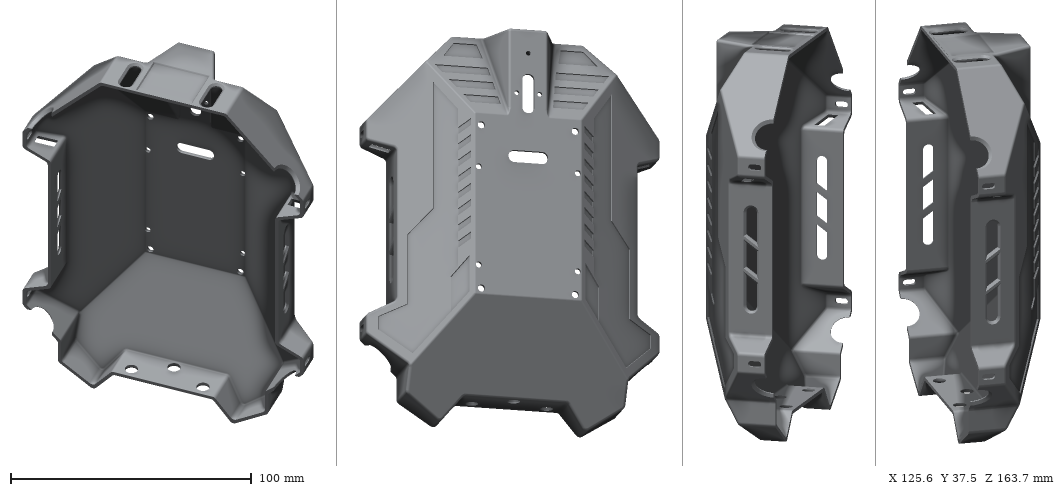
import cadquery as cq
import math

width = 125.58
depth = 37.5
height = 163.7
wall = 1.5
shoulder_wall = 2.5
outline_radius = 2.0
edge_radius = 1.3
inner_edge_radius = 1.0
half_width = width / 2
top_z = height / 2
rim_gap = 0.1
through = 200.0

top_half = 28.1
arm_top_z = 45.6
arm_low_z = 36.8
waist_half = 51.5
waist_mid_z = -0.6
waist_half_length = 32.7
lower_arm_top_z = -38.1
lower_arm_low_z = -46.6
foot_half = 47.0
foot_top_z = -61.6
foot_low_z = -72.3
toe_x = 31.0
toe_z = -82.48
step_half = 22.2
step_z = -72.0

side_start = 22.8
side_run = 1.54
shoulder_start = 44.2
shoulder_run = 2.07
skirt_start = 33.8
skirt_run = 1.84
ridge_start = 8.2
ridge_run = 0.395

recess_depth = 0.6
rib_depth = 0.8
panel_recess = [
    (59.2, 27.4),
    (46.5, 33.4),
    (-21.5, 33.4),
    (-25.0, 31.6),
    (-41.0, 31.6),
    (-57.2, 22.6),
    (-45.5, 14.4),
    (-39.8, 14.4),
    (-35.6, 21.4),
    (-5.5, 21.4),
    (4.5, 27.4),
]
panel_badge = [
    (-17.0, 36.2),
    (-32.7, 36.2),
    (-41.0, 31.6),
    (-25.7, 31.6),
]
rib_count = 8
rib_pitch = 7.0
rib_first_z = 42.0
rib_length = 3.0
rib_drop = 3.5
rib_back_y = 36.5
rib_front_y = 33.4
vent_back_ys = [35.0, 31.6, 28.2]
vent_depth = 1.8
vent_side_margin = 2.6
vent_ridge_margin = 2.0
low_vent = [
    (16.2, 24.2),
    (33.0, 24.2),
    (27.7, 20.9),
    (18.0, 20.9),
]

label_width = 25.0
label_height = 20.0
label_y = 10.9
label_depth = 0.5
top_slot_x = 18.1
top_slot_y = 9.2
top_slot_length = 16.8
top_slot_width = 7.0
slot_chamfer = 0.9

waist_slot_y = 9.2
waist_slot_length = 46.0
waist_slot_width = 6.4
bar_offset = 6.9
bar_thickness = 1.4
bar_slope = 0.7

arm_slot_z = 41.3
lower_arm_slot_z = -42.4
arm_slot_y = 4.2
arm_slot_length = 5.6
arm_slot_width = 2.5
ramp_slot = [
    (32.6, 8.8),
    (32.6, 13.2),
    (35.7, 9.4),
    (35.7, 5.0),
]
notch_radius = 6.5
notch_chamfer = 1.2
notch_x = 55.1

corner_hole = 3.0
corner_hole_x = 20.1
corner_hole_zs = [39.1, -31.4]
edge_hole = 2.5
edge_hole_x = 21.2
edge_hole_zs = [21.1, -21.3]
ridge_hole = 2.0
ridge_holes = [(0, 71.4), (-4.9, 54.0), (4.9, 54.0)]
plate_slot_width = 5.2
ridge_slot_length = 17.0
ridge_slot_z = 54.0
plate_slot_length = 17.0
plate_slot_z = 26.6
step_hole = 5.5
step_holes = [(-16.0, 4.65), (0, 12.2), (16.0, 4.65)]


def panel_reach(start, run, y, inset=0.0):
    """Distance of a sloping panel from the middle at depth y, moved inward by inset."""
    return start + run * (depth - y) - inset * math.hypot(1, run)


def outline_points():
    right = [
        (top_half, top_z),
        (half_width, arm_top_z),
        (half_width, arm_low_z),
        (waist_half, waist_mid_z + waist_half_length),
        (waist_half, waist_mid_z - waist_half_length),
        (half_width, lower_arm_top_z),
        (half_width, lower_arm_low_z),
        (foot_half, foot_top_z),
        (foot_half, foot_low_z),
        (toe_x, toe_z),
        (step_half, step_z),
    ]
    return right + [(-x, z) for x, z in reversed(right)]


def outline_prism():
    return (
        cq.Workplane("XZ").polyline(outline_points()).close().extrude(-depth)
        .edges("|Y").fillet(outline_radius)
    )


def inner_prism():
    return (
        cq.Workplane("XZ").polyline(outline_points()).close()
        .offset2D(-wall, "intersection").extrude(-depth)
        .edges("|Y").fillet(outline_radius)
    )


def slope_hull(inset, shoulder_inset):
    """Everything behind the two side panels, the shoulder and the skirt."""
    back = depth - inset
    side_rim = panel_reach(side_start, side_run, 0, inset)
    side_back = panel_reach(side_start, side_run, back, inset)
    across = (
        cq.Workplane("XY")
        .polyline([(-side_rim, 0), (-side_back, back), (side_back, back), (side_rim, 0)])
        .close().extrude(through, both=True)
    )
    shoulder_rim = panel_reach(shoulder_start, shoulder_run, 0, shoulder_inset)
    shoulder_back = panel_reach(shoulder_start, shoulder_run, back, shoulder_inset)
    skirt_rim = panel_reach(skirt_start, skirt_run, 0, inset)
    skirt_back = panel_reach(skirt_start, skirt_run, back, inset)
    along = (
        cq.Workplane("YZ")
        .polyline([(0, shoulder_rim), (back, shoulder_back), (back, -skirt_back), (0, -skirt_rim)])
        .close().extrude(through, both=True)
    )
    return across.intersect(along)


def ridge(inset):
    """Tapered bar that carries the back plate up over the shoulder to the top wall."""
    back = depth - inset
    foot_y = depth / 3
    foot = panel_reach(ridge_start, ridge_run, foot_y, inset)
    crest = panel_reach(ridge_start, ridge_run, back, inset)
    return (
        cq.Workplane("XY")
        .polyline([(-foot, foot_y), (-crest, back), (crest, back), (foot, foot_y)])
        .close().extrude(top_z - inset)
    )


def behind_rim(body):
    """All edges behind the rim plane, except those parallel to Y."""
    box = cq.selectors.BoxSelector((-width, rim_gap, -height), (width, 2 * depth, height))
    return body.edges("not(|Y)").edges(box)


def outer_body():
    body = outline_prism().intersect(slope_hull(0, 0)).union(ridge(0))
    return behind_rim(body).fillet(edge_radius)


def cavity():
    body = inner_prism().intersect(slope_hull(wall, shoulder_wall)).union(ridge(wall))
    return behind_rim(body).fillet(inner_edge_radius)


def both_sides(body):
    return body.union(body.mirror("YZ"))


def side_panel_recess(corners, pocket_depth):
    """Pocket in the right side panel; corners are (z, y)."""
    slope_length = math.hypot(1, side_run)
    plane = cq.Plane((side_start, depth, 0), xDir=(0, 0, 1), normal=(1, side_run, 0))
    points = [(z, (depth - y) * slope_length) for z, y in corners]
    return cq.Workplane(plane).polyline(points).close().extrude(-pocket_depth)


def shoulder_recess(corners):
    """Pocket in the right half of the shoulder; corners are (x, y)."""
    slope_length = math.hypot(1, shoulder_run)
    plane = cq.Plane((0, depth, shoulder_start), xDir=(-1, 0, 0), normal=(0, shoulder_run, 1))
    points = [(-x, (depth - y) * slope_length) for x, y in corners]
    return cq.Workplane(plane).polyline(points).close().extrude(-recess_depth)


def panel_recesses():
    cutter = side_panel_recess(panel_recess, recess_depth)
    cutter = cutter.union(side_panel_recess(panel_badge, rib_depth))
    for index in range(rib_count):
        z = rib_first_z - index * rib_pitch
        corners = [
            (z, rib_back_y),
            (z - rib_length, rib_back_y),
            (z - rib_length - rib_drop, rib_front_y),
            (z - rib_drop, rib_front_y),
        ]
        cutter = cutter.union(side_panel_recess(corners, rib_depth))
    return both_sides(cutter)


def shoulder_vents():
    cutter = shoulder_recess(low_vent)
    for back_y in vent_back_ys:
        front_y = back_y - vent_depth
        corners = [
            (panel_reach(ridge_start, ridge_run, back_y) + vent_ridge_margin, back_y),
            (panel_reach(side_start, side_run, back_y) - vent_side_margin, back_y),
            (panel_reach(side_start, side_run, front_y) - vent_side_margin, front_y),
            (panel_reach(ridge_start, ridge_run, front_y) + vent_ridge_margin, front_y),
        ]
        cutter = cutter.union(shoulder_recess(corners))
    return both_sides(cutter)


def chamfered_slot(plane, length, width_outside):
    """Flare and bore of a slot along the plane's y, chamfered at 45 degrees on its outer side."""
    narrowing = 2 * slot_chamfer
    flare = cq.Workplane(plane).slot2D(length, width_outside, 90).extrude(-slot_chamfer, taper=45)
    bore = (
        cq.Workplane(plane)
        .slot2D(length - narrowing, width_outside - narrowing, 90)
        .extrude(-2 * wall)
    )
    return flare, bore


def top_wall_cuts():
    label = (
        cq.Workplane("XY", origin=(0, label_y, top_z))
        .rect(label_width, label_height).extrude(-label_depth, taper=45)
    )
    plane = cq.Plane((top_slot_x, top_slot_y, top_z), xDir=(1, 0, 0), normal=(0, 0, 1))
    flare, bore = chamfered_slot(plane, top_slot_length, top_slot_width)
    return label.union(both_sides(flare.union(bore)))


def waist_bar(plane, middle, thickness):
    """Outline of one slanted bar that crosses the waist slot."""
    reach = waist_slot_width
    points = [
        (-reach, middle - reach * bar_slope - thickness / 2),
        (reach, middle + reach * bar_slope - thickness / 2),
        (reach, middle + reach * bar_slope + thickness / 2),
        (-reach, middle - reach * bar_slope + thickness / 2),
    ]
    return cq.Workplane(plane).polyline(points).close()


def waist_windows():
    plane = cq.Plane((waist_half, waist_slot_y, waist_mid_z), xDir=(0, 1, 0), normal=(1, 0, 0))
    flare, bore = chamfered_slot(plane, waist_slot_length, waist_slot_width)
    wide_bar = bar_thickness + 2 * slot_chamfer * math.hypot(1, bar_slope)
    for middle in (-bar_offset, bar_offset):
        flare = flare.cut(waist_bar(plane, middle, bar_thickness).extrude(-slot_chamfer, taper=-45))
        bore = bore.cut(waist_bar(plane, middle, wide_bar).extrude(-2 * wall))
    return both_sides(flare.union(bore))


def arm_slots():
    cutter = (
        cq.Workplane("YZ", origin=(half_width - 2 * wall, 0, 0))
        .pushPoints([(arm_slot_y, arm_slot_z), (arm_slot_y, lower_arm_slot_z)])
        .slot2D(arm_slot_length, arm_slot_width).extrude(4 * wall)
    )
    return both_sides(cutter)


def ramp_slots():
    """Slanted slots through the ramps just above the waist."""
    waist_top = waist_mid_z + waist_half_length
    ramp_x = half_width - waist_half
    ramp_z = arm_low_z - waist_top
    ramp_length = math.hypot(ramp_x, ramp_z)
    plane = cq.Plane((waist_half, 0, waist_top), xDir=(ramp_x, 0, ramp_z), normal=(-ramp_z, 0, ramp_x))
    points = [((z - waist_top) * ramp_length / ramp_z, y) for z, y in ramp_slot]
    cutter = cq.Workplane(plane).polyline(points).close().extrude(2 * wall, both=True)
    return both_sides(cutter)


def cable_notch(start, end):
    """Chamfered round notch in the diagonal wall that runs from start to end."""
    run_x = end[0] - start[0]
    run_z = end[1] - start[1]
    notch_z = start[1] + (notch_x - start[0]) * run_z / run_x
    inward = cq.Vector(-abs(run_z), 0, -math.copysign(run_x, start[1])).normalized()
    center = cq.Vector(notch_x, 0, notch_z)
    bore = cq.Solid.makeCylinder(notch_radius, 2 * wall, center, inward)
    flare = cq.Solid.makeCone(notch_radius + notch_chamfer, notch_radius, notch_chamfer, center, inward)
    return both_sides(cq.Workplane(bore.fuse(flare)))


def back_plate_holes():
    def sketch():
        return cq.Workplane("XZ")

    corners = [(side * corner_hole_x, z) for side in (-1, 1) for z in corner_hole_zs]
    edges = [(side * edge_hole_x, z) for side in (-1, 1) for z in edge_hole_zs]
    cutter = sketch().pushPoints(corners).circle(corner_hole / 2).extrude(-through)
    cutter = cutter.union(sketch().pushPoints(edges).circle(edge_hole / 2).extrude(-through))
    cutter = cutter.union(sketch().pushPoints(ridge_holes).circle(ridge_hole / 2).extrude(-through))
    ridge_slot = sketch().center(0, ridge_slot_z).slot2D(ridge_slot_length, plate_slot_width, 90)
    plate_slot = sketch().center(0, plate_slot_z).slot2D(plate_slot_length, plate_slot_width)
    return cutter.union(ridge_slot.extrude(-through)).union(plate_slot.extrude(-through))


def step_wall_holes():
    return (
        cq.Workplane("XY", origin=(0, 0, step_z - wall))
        .pushPoints(step_holes).circle(step_hole / 2).extrude(3 * wall)
    )


result = outer_body().cut(cavity())
result = result.cut(panel_recesses()).cut(shoulder_vents())
result = result.cut(top_wall_cuts()).cut(waist_windows())
result = result.cut(arm_slots()).cut(ramp_slots())
result = result.cut(cable_notch((top_half, top_z), (half_width, arm_top_z)))
result = result.cut(cable_notch((foot_half, foot_top_z), (half_width, lower_arm_low_z)))
result = result.cut(back_plate_holes()).cut(step_wall_holes())